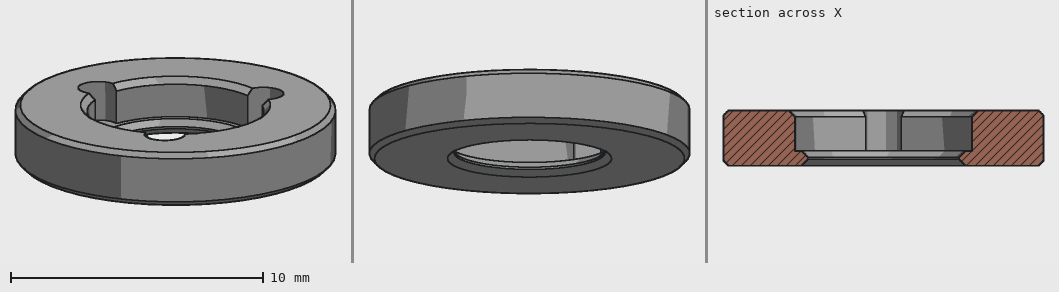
import cadquery as cq

outer_diameter = 12.7
height = 2.2
outer_chamfer = 0.2

bore_diameter = 6.0
recess_diameter = 7.01
recess_depth = 1.6
bore_chamfer = 0.25

pocket_count = 3
pocket_diameter = 1.6
pocket_circle_radius = 3.8
pocket_depth = recess_depth
first_pocket_angle = 180.0


def make_ring():
    """Disc with both outer rims chamfered, standing on Z = 0."""
    disc = cq.Workplane("XY").circle(outer_diameter / 2).extrude(height)
    return disc.faces("<Z or >Z").edges().chamfer(outer_chamfer)


def make_chamfered_bore(diameter, bottom, top):
    """Cutter for a round bore whose mouth at the top is chamfered."""
    radius = diameter / 2
    profile = (
        cq.Workplane("XZ")
        .moveTo(0, bottom)
        .lineTo(radius, bottom)
        .lineTo(radius, top - bore_chamfer)
        .lineTo(radius + bore_chamfer, top)
        .lineTo(0, top)
        .close()
    )
    return profile.revolve(360, (0, 0, 0), (0, 1, 0))


def make_pockets():
    """Cutters for the pockets, evenly spaced around the recess."""
    return (
        cq.Workplane("XY")
        .workplane(offset=height - pocket_depth)
        .polarArray(pocket_circle_radius, first_pocket_angle, 360, pocket_count)
        .circle(pocket_diameter / 2)
        .extrude(pocket_depth)
    )


def make_bore_exit_chamfer():
    """Cone frustum that bevels the underside mouth of the bore."""
    bore_radius = bore_diameter / 2
    profile = (
        cq.Workplane("XZ")
        .lineTo(bore_radius + bore_chamfer, 0)
        .lineTo(bore_radius, bore_chamfer)
        .lineTo(0, bore_chamfer)
        .close()
    )
    return profile.revolve(360, (0, 0, 0), (0, 1, 0))


recess_floor = height - recess_depth
result = (
    make_ring()
    .cut(make_chamfered_bore(bore_diameter, 0, recess_floor))
    .cut(make_chamfered_bore(recess_diameter, recess_floor, height))
    .cut(make_bore_exit_chamfer())
    .cut(make_pockets())
)